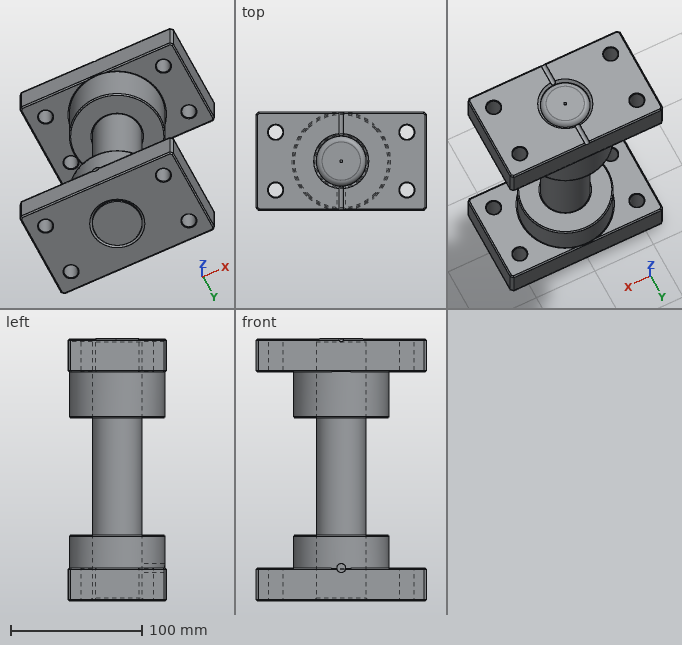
import cadquery as cq

overall_height = 200.0
pin_projection = 0.5

plate_length = 130.0
plate_width = 75.0
plate_thickness = 25.0
plate_corner_chamfer = 2.0
plate_edge_chamfer = 1.1

hub_diameter = 73.0
hub_recess_chamfer = 1.0
hub_rim_chamfer = 1.0
upper_hub_height = 35.0
lower_hub_height = 25.0

pin_diameter = 38.0
pin_end_fillet = 4.5
center_mark_diameter = 2.0
center_mark_depth = 1.0
plate_bore_chamfer = 2.0
hub_bore_chamfer = 1.0

hole_spacing_x = 100.0
hole_spacing_y = 44.0
hole_diameter = 11.0
hole_chamfer = 0.5

groove_diameter = 3.8
port_diameter = 6.8


def make_block(hub_height):
    """Plate from z = 0 up to its thickness, with a bored hub standing on it."""
    block_height = plate_thickness + hub_height
    plate = cut_root_recess(
        cq.Workplane("XY")
        .box(plate_length, plate_width, plate_thickness, centered=(True, True, False))
        .edges("|Z").chamfer(plate_corner_chamfer)
        .faces("<Z or >Z").chamfer(plate_edge_chamfer)
    )
    hub = (
        cq.Workplane("XY")
        .circle(hub_diameter / 2).extrude(block_height)
        .faces(">Z").chamfer(hub_rim_chamfer)
    )
    block = plate.union(hub)
    return cut_bore(cut_mounting_holes(block), block_height)


def cut_root_recess(plate):
    """Sink the chamfered ring that surrounds the foot of the hub into the plate face."""
    hub_radius = hub_diameter / 2
    recess = (
        cq.Workplane("XZ")
        .polyline([
            (0, plate_thickness),
            (0, plate_thickness - hub_recess_chamfer),
            (hub_radius, plate_thickness - hub_recess_chamfer),
            (hub_radius + hub_recess_chamfer, plate_thickness),
        ])
        .close()
        .revolve(360, (0, 0), (0, 1))
    )
    return plate.cut(recess)


def countersunk_hole(radius, height, bottom_chamfer, top_chamfer):
    """Tool for a hole along Z with a 45 degree chamfer at each end."""
    return (
        cq.Workplane("XZ")
        .polyline([
            (0, 0),
            (radius + bottom_chamfer, 0),
            (radius, bottom_chamfer),
            (radius, height - top_chamfer),
            (radius + top_chamfer, height),
            (0, height),
        ])
        .close()
        .revolve(360, (0, 0), (0, 1))
    )


def cut_mounting_holes(block):
    tool = countersunk_hole(hole_diameter / 2, plate_thickness, hole_chamfer, hole_chamfer)
    for x in (-hole_spacing_x / 2, hole_spacing_x / 2):
        for y in (-hole_spacing_y / 2, hole_spacing_y / 2):
            block = block.cut(tool.translate((x, y, 0)))
    return block


def cut_bore(block, height):
    return block.cut(countersunk_hole(pin_diameter / 2, height, plate_bore_chamfer, hub_bore_chamfer))


def make_lower_block():
    """Block with its hub up and a radial port at the foot of the hub, on the -Y side."""
    port = (
        cq.Workplane("XZ", origin=(0, 0, plate_thickness))
        .circle(port_diameter / 2).extrude(plate_width / 2)
    )
    return make_block(lower_hub_height).cut(port)


def make_upper_block():
    """Block turned hub down, with a round-bottomed groove along Y in its outer face."""
    groove = (
        cq.Workplane("XZ")
        .circle(groove_diameter / 2).extrude(plate_width / 2, both=True)
        .rotate((0, 0, 0), (0, 1, 0), 90)
    )
    block = make_block(upper_hub_height).cut(groove)
    top_face_z = overall_height - pin_projection
    return block.rotate((0, 0, 0), (1, 0, 0), 180).translate((0, 0, top_face_z))


def make_pin():
    return (
        cq.Workplane("XY")
        .circle(pin_diameter / 2).extrude(overall_height)
        .faces(">Z").edges().fillet(pin_end_fillet)
        .faces(">Z").workplane().hole(center_mark_diameter, center_mark_depth)
    )


lower_block = make_lower_block()
upper_block = make_upper_block()
guide_pin = make_pin()

result = cq.Compound.makeCompound([lower_block.val(), upper_block.val(), guide_pin.val()])